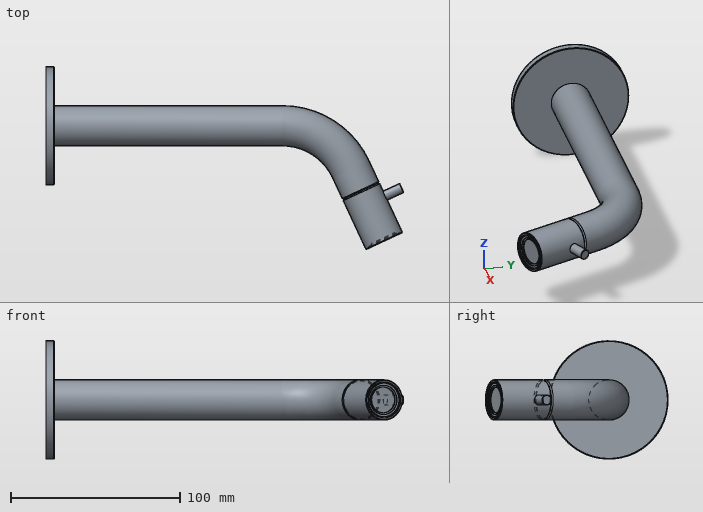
import cadquery as cq
import math

FLANGE_DIAMETER = 70.0
FLANGE_THICKNESS = 5.0
FLANGE_CHAMFER = 0.5

TUBE_DIAMETER = 24.0
TUBE_RADIUS = TUBE_DIAMETER / 2
BEND_START = 139.8
BEND_RADIUS = 44.6
BEND_ANGLE = 65.0
TAIL_LENGTH = 14.2

HANDLE_LENGTH = 32.5
JOINT_CHAMFER = 0.75
MOUTH_CHAMFER = 0.5
OUTLET_STEPS = [(10.5, 0.5), (10.0, 0.8), (8.7, 1.3), (7.6, 2.0)]

LEVER_DIAMETER = 6.0
LEVER_REACH = 22.6
LEVER_OFFSET = 8.5
LEVER_CHAMFER = 0.2

turn = math.radians(BEND_ANGLE)
tail_direction = cq.Vector(math.cos(turn), -math.sin(turn), 0)
lever_direction = cq.Vector(math.sin(turn), math.cos(turn), 0)
bend_end = cq.Vector(
    BEND_START + BEND_RADIUS * math.sin(turn),
    -BEND_RADIUS * (1 - math.cos(turn)),
    0,
)


def tail_plane(distance):
    """Plane across the tail axis, at a distance past the end of the bend."""
    return cq.Plane(
        origin=bend_end + tail_direction * distance,
        xDir=lever_direction,
        normal=tail_direction,
    )


def make_flange():
    """Round wall plate with a broken edge on its room side."""
    plate = cq.Workplane("YZ").circle(FLANGE_DIAMETER / 2).extrude(FLANGE_THICKNESS)
    return plate.faces(">X").edges().chamfer(FLANGE_CHAMFER)


def make_spout():
    """Flange, straight tube, bend and tail as one solid."""
    straight = cq.Workplane("YZ").circle(TUBE_RADIUS).extrude(BEND_START)
    bend = (
        cq.Workplane("YZ", origin=(BEND_START, 0, 0))
        .circle(TUBE_RADIUS)
        .revolve(BEND_ANGLE, (-BEND_RADIUS, 0), (-BEND_RADIUS, -1))
    )
    tail = (
        cq.Workplane(tail_plane(0))
        .circle(TUBE_RADIUS)
        .extrude(TAIL_LENGTH)
        .faces(cq.selectors.DirectionMinMaxSelector(tail_direction))
        .edges()
        .chamfer(JOINT_CHAMFER)
    )
    return make_flange().union(straight).union(bend).union(tail)


def make_lever():
    """Pin from the handle axis out through its side."""
    plane = cq.Plane(
        origin=bend_end + tail_direction * (TAIL_LENGTH + LEVER_OFFSET),
        xDir=tail_direction,
        normal=lever_direction,
    )
    pin = cq.Workplane(plane).circle(LEVER_DIAMETER / 2).extrude(LEVER_REACH)
    tip = cq.selectors.DirectionMinMaxSelector(lever_direction)
    return pin.faces(tip).edges().chamfer(LEVER_CHAMFER)


def make_handle():
    """Sleeve that continues the tail, with a stepped outlet recess and a lever."""
    mouth = cq.selectors.DirectionMinMaxSelector(tail_direction)
    joint = cq.selectors.DirectionMinMaxSelector(tail_direction, directionMax=False)
    mouth_plane = tail_plane(TAIL_LENGTH + HANDLE_LENGTH)
    sleeve = cq.Workplane(tail_plane(TAIL_LENGTH)).circle(TUBE_RADIUS).extrude(HANDLE_LENGTH)
    sleeve = sleeve.faces(joint).edges().chamfer(JOINT_CHAMFER)
    sleeve = sleeve.faces(mouth).edges().chamfer(MOUTH_CHAMFER)
    handle = sleeve.union(make_lever())
    for radius, depth in OUTLET_STEPS:
        handle = handle.cut(cq.Workplane(mouth_plane).circle(radius).extrude(-depth))
    return handle


spout = make_spout()
handle = make_handle()

result = cq.Compound.makeCompound([*spout.solids().vals(), *handle.solids().vals()])